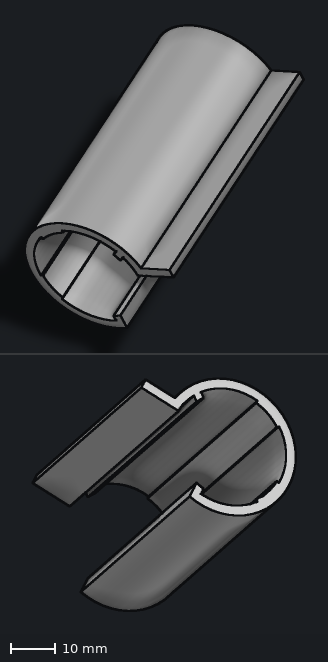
import cadquery as cq
import math

length = 65.0
outer_radius = 16.5
wall = 2.4
inner_radius = outer_radius - wall

flange_angle = 25.5
flange_offset = 1.0
flange_reach = 24.2

hook_angle = 90 - flange_angle
hook_offset = 2.85
hook_width = 2.1
hook_tip_radius = 12.6

pad_radius = 13.5
pad_start = 120.0
pad_end = 151.0

profile_plane = cq.Workplane("XZ", origin=(0, length / 2, 0))


def polar(radius, angle):
    """Point in the cross-section at an angle in degrees from +X."""
    a = math.radians(angle)
    return (radius * math.cos(a), radius * math.sin(a))


def along(distance, offset, angle):
    """Point a distance along a direction, shifted to its left by offset."""
    x, z = polar(distance, angle)
    dx, dz = polar(offset, angle + 90)
    return (x + dx, z + dz)


def prism(points):
    return profile_plane.polyline(points).close().extrude(length)


def ring(inside_radius):
    return profile_plane.circle(outer_radius).circle(inside_radius).extrude(length)


def strip(start, end, low, high, angle):
    """Straight bar running along an angle, between two sideways offsets."""
    corners = [(start, low), (end, low), (end, high), (start, high)]
    return prism([along(distance, offset, angle) for distance, offset in corners])


def mirrored_pair(body):
    return body.union(body.mirror("XY"))


beyond = 2 * outer_radius
opening = prism([
    along(0, flange_offset, flange_angle),
    along(beyond, flange_offset, flange_angle),
    along(beyond, hook_offset, -hook_angle),
    along(0, hook_offset, -hook_angle),
])
tube = ring(inner_radius).cut(opening)

bore = profile_plane.circle(inner_radius).extrude(length)
flange = strip(0, flange_reach, flange_offset, flange_offset + wall, flange_angle).cut(bore)

hook_strip = strip(0, outer_radius, -hook_offset, hook_width - hook_offset, hook_angle)
hooks = mirrored_pair(ring(hook_tip_radius).intersect(hook_strip))

pad_wedge = prism([(0, 0), polar(beyond, pad_start), polar(beyond, pad_end)])
pads = mirrored_pair(ring(pad_radius).intersect(pad_wedge))

result = tube.union(flange).union(hooks).union(pads)